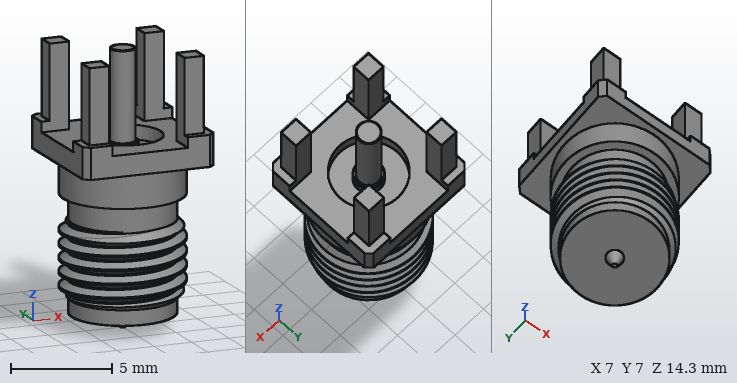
import cadquery as cq
import math

FLANGE_SIZE = 7.0
CORNER_CHAMFER = 0.31
FLANGE_BOTTOM = 8.71
FLANGE_TOP = 9.81
FOOT_TOP = 10.35
TOP = 14.3
LEG_INNER = 2.02
LEG_WIDTH = 1.05

COLLAR_DIAMETER = 6.33
COLLAR_BOTTOM = 6.88
BARREL_DIAMETER = 5.4
BARREL_BOTTOM = 0.77

RECESS_DIAMETER = 2 * LEG_INNER
RECESS_DEPTH = 0.75
SLEEVE_DIAMETER = 1.6
SLEEVE_HEIGHT = 0.49
PIN_DIAMETER = 1.27
PIN_CHAMFER = 0.05
TIP_BASE_DIAMETER = 0.92
TIP_END_DIAMETER = 0.25

THREAD_BOTTOM = 1.57
THREAD_TOP = 5.56
THREAD_DIAMETER = COLLAR_DIAMETER
THREAD_PITCH = 0.72
THREAD_ANGLE = 60.0
CREST_WIDTH = 0.1
CREST_START = 1.1
THREAD_TURNS = 7
THREAD_EMBED = 0.05
ENVELOPE_CLEARANCE = 0.15


def cylinder(diameter, bottom, top):
    return cq.Workplane("XY").workplane(offset=bottom).circle(diameter / 2).extrude(top - bottom)


def make_flange():
    plate = cq.Workplane("XY").workplane(offset=FLANGE_BOTTOM)
    plate = plate.rect(FLANGE_SIZE, FLANGE_SIZE).extrude(FOOT_TOP - FLANGE_BOTTOM)
    plate = plate.edges("|Z").chamfer(CORNER_CHAMFER)
    channel = cq.Workplane("XY").workplane(offset=FLANGE_TOP)
    channel_depth = FOOT_TOP - FLANGE_TOP
    plate = plate.cut(channel.rect(2 * LEG_INNER, FLANGE_SIZE).extrude(channel_depth))
    return plate.cut(channel.rect(FLANGE_SIZE, 2 * LEG_INNER).extrude(channel_depth))


def make_legs():
    spacing = 2 * LEG_INNER + LEG_WIDTH
    legs = cq.Workplane("XY").workplane(offset=FLANGE_TOP).rarray(spacing, spacing, 2, 2)
    return legs.rect(LEG_WIDTH, LEG_WIDTH).extrude(TOP - FLANGE_TOP)


def make_pin():
    recess_floor = FLANGE_TOP - RECESS_DEPTH
    pin = cylinder(PIN_DIAMETER, recess_floor, TOP).faces(">Z").chamfer(PIN_CHAMFER)
    sleeve = cylinder(SLEEVE_DIAMETER, recess_floor, recess_floor + SLEEVE_HEIGHT)
    return pin.union(sleeve.faces(">Z").chamfer(PIN_CHAMFER))


def make_tip():
    tip = cq.Workplane("XY").circle(TIP_END_DIAMETER / 2)
    return tip.workplane(offset=BARREL_BOTTOM).circle(TIP_BASE_DIAMETER / 2).loft()


def make_ridge():
    """Helical ridge of trapezoidal section, bounded by four ruled helical faces."""
    crest_radius = THREAD_DIAMETER / 2
    inner_radius = BARREL_DIAMETER / 2 - THREAD_EMBED
    half_crest = CREST_WIDTH / 2
    half_base = half_crest + (crest_radius - inner_radius) * math.tan(math.radians(THREAD_ANGLE / 2))
    section = [
        (inner_radius, CREST_START - half_base),
        (crest_radius, CREST_START - half_crest),
        (crest_radius, CREST_START + half_crest),
        (inner_radius, CREST_START + half_base),
    ]
    length = THREAD_PITCH * THREAD_TURNS
    helices = [
        cq.Wire.makeHelix(THREAD_PITCH, length, radius, cq.Vector(0, 0, height)) for radius, height in section
    ]
    faces = []
    for index, helix in enumerate(helices):
        faces.extend(cq.Face.makeRuledSurface(helices[index - 1], helix).Faces())
    for rise in (0, length):
        corners = [cq.Vector(radius, 0, height + rise) for radius, height in section]
        faces.append(cq.Face.makeFromWires(cq.Wire.makePolygon(corners, close=True)))
    return cq.Workplane(cq.Solid.makeSolid(cq.Shell.makeShell(faces)))


def make_thread():
    ridge_height = (THREAD_DIAMETER - BARREL_DIAMETER) / 2
    envelope = cylinder(THREAD_DIAMETER + 2 * ENVELOPE_CLEARANCE, THREAD_BOTTOM, THREAD_TOP)
    envelope = envelope.faces("<Z or >Z").chamfer(ridge_height + ENVELOPE_CLEARANCE)
    return make_ridge().intersect(envelope)


body = cylinder(BARREL_DIAMETER, BARREL_BOTTOM, COLLAR_BOTTOM).union(make_thread())
body = body.union(cylinder(COLLAR_DIAMETER, COLLAR_BOTTOM, FLANGE_BOTTOM))
body = body.union(make_flange())
body = body.cut(cylinder(RECESS_DIAMETER, FLANGE_TOP - RECESS_DEPTH, FLANGE_TOP))
result = body.union(make_legs()).union(make_pin()).union(make_tip())